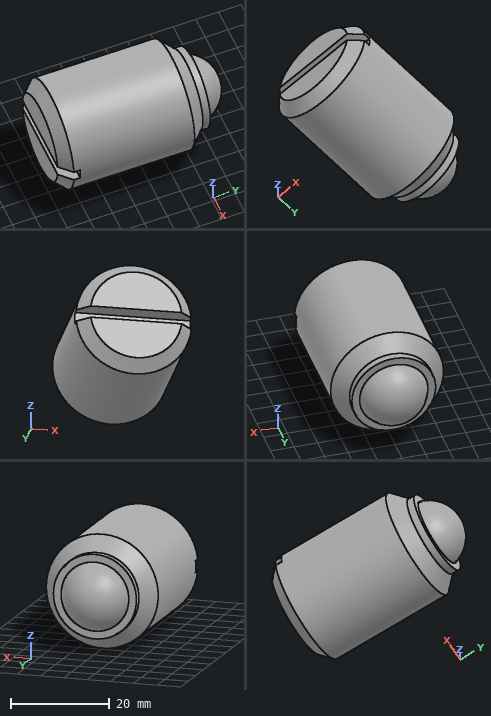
import cadquery as cq

total_length = 39.5
body_radius = 12.0

ball_radius = 7.5
ball_protrusion = 5.55
ball_center_y = total_length / 2 - ball_radius

slot_end_y = -total_length / 2
ball_end_y = total_length / 2 - ball_protrusion
collar_radius = 8.9
collar_length = 1.65
slot_end_chamfer = 2.53
slot_width = 2.5
slot_depth = 3.95


def make_ball():
    return cq.Workplane("XY").sphere(ball_radius).translate((0, ball_center_y, 0))


def make_turned_blank():
    """Revolve the half profile, drawn as (radius, y), about the Y axis."""
    shoulder_y = ball_end_y - collar_length
    ball_end_chamfer = body_radius - collar_radius
    return (
        cq.Workplane("XY")
        .moveTo(0, slot_end_y)
        .lineTo(body_radius - slot_end_chamfer, slot_end_y)
        .lineTo(body_radius, slot_end_y + slot_end_chamfer)
        .lineTo(body_radius, shoulder_y - ball_end_chamfer)
        .lineTo(collar_radius, shoulder_y)
        .lineTo(collar_radius, ball_end_y)
        .lineTo(0, ball_end_y)
        .close()
        .revolve(360, (0, 0, 0), (0, 1, 0))
    )


def make_screwdriver_slot():
    return (
        cq.Workplane("XY")
        .box(2 * body_radius, slot_depth, slot_width)
        .translate((0, slot_end_y + slot_depth / 2, 0))
    )


ball = make_ball()

body = make_turned_blank().cut(ball).cut(make_screwdriver_slot())

result = cq.Compound.makeCompound([body.val(), ball.val()])